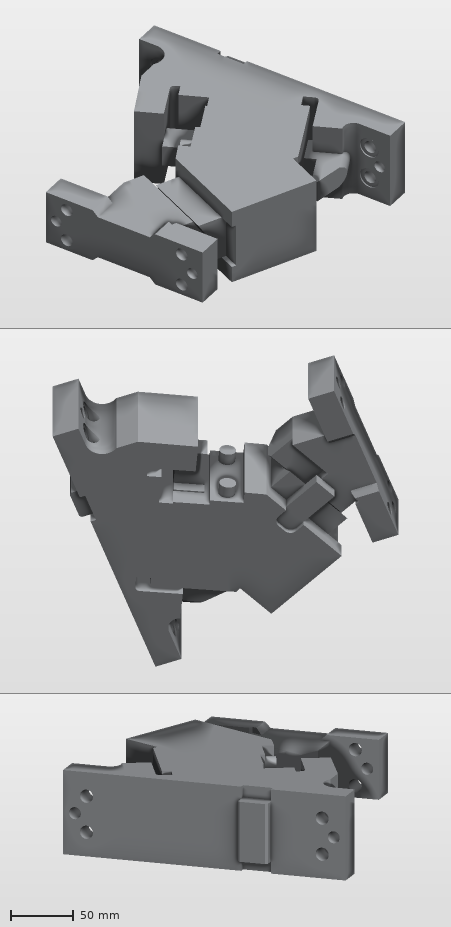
import cadquery as cq
import math

base_length = 240.0
unit_height = 70.0
unit_depth = 234.0
plate_thickness = 22.0
tilt = 25.0
web_height = 39.8

bolt_pitch_z = 30.0
bolt_hole_dia = 11.0
bolt_head_dia = 18.0
bolt_head_depth = 1.2
dowel_hole_dia = 10.0

base_bolt_x = 100.0
base_dowel_x = 110.0
left_cove_radius = 14.2
left_cove_x = -103.5
right_cove_radius = 9.0
leg_outer_x = -91.7
leg_bend_y = -62.5

key_width = 25.2
key_center_x = -44.0
key_height = 50.0
key_projection = 9.0
key_seat_depth = 4.5
key_chamfer = 1.7

bearing_along = 39.5
relief_along = 27.8
lip_end_along = 66.5
leg_outer_across = -108.7
leg_inner_across = -84.5
left_relief_across = -76.5
right_relief_across = 22.8
lip_inner_across = 36.0
lip_outer_across = 60.0
relief_radius = 3.8

slider_left = -51.5
slider_right = 30.2
slider_right_end = 109.0
bar_start = 51.0
bar_end = 76.0
bar_height = 19.2
side_step = 1.5
side_end = 80.5
screw_seat_across = -57.0
screw_seat_end = 107.3
cheek_across = -67.2
pad_thickness = 1.2
pad_height = 38.5

hook_inner_across = 40.5
hook_tip_across = 45.5
hook_end_along = 106.5
hook_bulge = 5.5
hook_taper_start = 76.8

screw_dia = 13.5
screw_along = 93.8
screw_pitch_z = 46.0

drive_face_out = 131.5
face_left_side = 52.8
face_right_side = 138.0
shoulder_out = 51.5
shoulder_side = 102.7
corner_recess_depth = 4.0

jaw_left = 57.8
jaw_right = 122.6
jaw_tip_out = 153.4
ridge_depth = 9.0
ridge_flat = 10.0
ridge_clearance = 0.7

strip_left = 75.0
strip_right = 95.0
strip_end_out = 166.3
strip_thickness = 9.8
strip_gap = 0.7
strip_slot_depth = 15.0
strip_slot_radius = 6.7

driver_width = 150.0
driver_height = 50.0
driver_center_x = -2.6
driver_bolt_x = 55.0
driver_dowel_x = 65.0
web_left_x = -36.0
web_left_side = 41.0
web_right_side = 115.5
web_end_out = 174.0
waist_left_x = -27.8
waist_right_x = 21.8
end_notch_right = 81.0
end_notch_top = -10.3

front_y = key_projection - unit_depth
plate_front_y = -plate_thickness
plate_inner_y = front_y + plate_thickness
tilt_cos = math.cos(math.radians(tilt))
tilt_sin = math.sin(math.radians(tilt))
web_bend_y = (web_left_x * tilt_cos - web_left_side) / tilt_sin
web_bend_out = -web_left_x * tilt_sin - web_bend_y * tilt_cos


def guide_point(across, along):
    """XY place of a point given in the guide frame."""
    return (across * tilt_cos + along * tilt_sin, across * tilt_sin - along * tilt_cos)


def drive_point(side, out):
    """XY place of a point given in the drive frame."""
    return (side * tilt_cos - out * tilt_sin, -side * tilt_sin - out * tilt_cos)


def prism(points, height):
    """Prism on an XY outline, centred on the mid-plane."""
    return cq.Workplane("XY").polyline(points).close().extrude(height / 2, both=True)


def guide_block(across_min, across_max, along_min, along_max, height):
    """Box squared to the guide frame, centred on the mid-plane."""
    corners = [
        guide_point(across_min, along_min),
        guide_point(across_max, along_min),
        guide_point(across_max, along_max),
        guide_point(across_min, along_max),
    ]
    return prism(corners, height)


def drive_block(side_min, side_max, out_min, out_max, z_min, z_max):
    """Box squared to the drive frame."""
    corners = [
        drive_point(side_min, out_min),
        drive_point(side_max, out_min),
        drive_point(side_max, out_max),
        drive_point(side_min, out_max),
    ]
    return cq.Workplane("XY").workplane(offset=z_min).polyline(corners).close().extrude(z_max - z_min)


def y_cylinders(places, diameter, y_front, length):
    """Cylinders along +Y that start at y_front."""
    plane = cq.Workplane(cq.Plane((0, y_front, 0), (1, 0, 0), (0, -1, 0)))
    return plane.pushPoints(places).circle(diameter / 2).extrude(-length)


def bolt_places(center_x, offset_x):
    """X and Z of two pairs of bolts about a centre."""
    return [
        (center_x + side * offset_x, level * bolt_pitch_z / 2)
        for side in (-1, 1)
        for level in (-1, 1)
    ]


def dowel_places(center_x, offset_x):
    """X and Z of two dowels about a centre."""
    return [(center_x + side * offset_x, 0) for side in (-1, 1)]


def ridge(side_min, side_max, root_out):
    """Bar with a trapezoidal cross-section that tapers toward the base."""
    origin = drive_point(side_min, root_out)
    section = cq.Plane((*origin, 0), (tilt_sin, tilt_cos, 0), (tilt_cos, -tilt_sin, 0))
    outline = [
        (0, web_height / 2),
        (ridge_depth, ridge_flat / 2),
        (ridge_depth, -ridge_flat / 2),
        (0, -web_height / 2),
    ]
    return cq.Workplane(section).polyline(outline).close().extrude(side_max - side_min)


def make_hook():
    """Bar end and finger that wrap the base lip, with a round outer edge."""
    outline = [
        guide_point(slider_right, bar_start),
        guide_point(lip_outer_across + hook_bulge, bar_start),
        guide_point(lip_outer_across + hook_bulge, hook_taper_start),
        guide_point(hook_tip_across, hook_end_along),
        guide_point(hook_inner_across, hook_end_along),
        guide_point(hook_inner_across, bar_end),
        guide_point(slider_right, bar_end),
    ]
    rounding_plane = cq.Plane(
        (*guide_point(0, bar_start), 0), (tilt_cos, tilt_sin, 0), (tilt_sin, -tilt_cos, 0)
    )
    rounding = (
        cq.Workplane(rounding_plane)
        .moveTo(slider_right, -bar_height / 2)
        .lineTo(lip_outer_across, -bar_height / 2)
        .threePointArc((lip_outer_across + hook_bulge, 0), (lip_outer_across, bar_height / 2))
        .lineTo(slider_right, bar_height / 2)
        .close()
        .extrude(hook_end_along - bar_start)
    )
    return prism(outline, bar_height).intersect(rounding)


def make_base():
    half_length = base_length / 2
    left_cove_y = plate_front_y - left_cove_radius
    cove_end_dx = leg_outer_x - left_cove_x
    cove_end_y = left_cove_y - math.sqrt(left_cove_radius**2 - cove_end_dx**2)
    right_cove_y = plate_front_y - right_cove_radius
    lip_corner_x, lip_corner_y = guide_point(lip_outer_across, lip_end_along)
    right_cove_x = lip_corner_x + math.sqrt(right_cove_radius**2 - (lip_corner_y - right_cove_y) ** 2)
    diagonal = math.sqrt(0.5)
    body = (
        cq.Workplane("XY")
        .moveTo(-half_length, 0)
        .lineTo(-half_length, plate_front_y)
        .lineTo(left_cove_x, plate_front_y)
        .threePointArc(
            (left_cove_x + left_cove_radius * diagonal, left_cove_y + left_cove_radius * diagonal),
            (leg_outer_x, cove_end_y),
        )
        .lineTo(leg_outer_x, leg_bend_y)
        .lineTo(*guide_point(leg_outer_across, lip_end_along))
        .lineTo(*guide_point(leg_inner_across, lip_end_along))
        .lineTo(*guide_point(leg_inner_across, bearing_along))
        .lineTo(*guide_point(lip_inner_across, bearing_along))
        .lineTo(*guide_point(lip_inner_across, lip_end_along))
        .lineTo(lip_corner_x, lip_corner_y)
        .threePointArc(
            (right_cove_x - right_cove_radius * diagonal, right_cove_y + right_cove_radius * diagonal),
            (right_cove_x, plate_front_y),
        )
        .lineTo(half_length, plate_front_y)
        .lineTo(half_length, 0)
        .close()
        .extrude(unit_height / 2, both=True)
    )

    left_relief = guide_block(
        leg_inner_across, left_relief_across, relief_along, bearing_along, unit_height
    )
    outer_edge = cq.selectors.NearestToPointSelector((*guide_point(leg_inner_across, relief_along), 0))
    body = body.cut(left_relief.edges("|Z").edges(outer_edge).fillet(relief_radius))

    right_relief = guide_block(
        right_relief_across, lip_inner_across, relief_along, bearing_along, unit_height
    )
    outer_edge = cq.selectors.NearestToPointSelector((*guide_point(lip_inner_across, relief_along), 0))
    body = body.cut(right_relief.edges("|Z").edges(outer_edge).fillet(relief_radius))

    seat = cq.Workplane("XY").box(key_width, 2 * key_seat_depth, unit_height)
    body = body.cut(seat.translate((key_center_x, 0, 0)))
    key_depth = key_projection + key_seat_depth
    key = (
        cq.Workplane("XY")
        .box(key_width, key_depth, key_height)
        .edges("|Z and >Y")
        .chamfer(key_chamfer)
        .translate((key_center_x, key_projection - key_depth / 2, 0))
    )
    body = body.union(key)

    bolts = bolt_places(0, base_bolt_x)
    body = body.cut(y_cylinders(bolts, bolt_hole_dia, plate_front_y, plate_thickness))
    body = body.cut(
        y_cylinders(bolts, bolt_head_dia, left_cove_y, left_cove_radius + bolt_head_depth)
    )
    body = body.cut(
        y_cylinders(dowel_places(0, base_dowel_x), dowel_hole_dia, plate_front_y, plate_thickness)
    )
    return body.cut(make_hook())


def make_slider():
    stepped_left = slider_left - side_step
    body = prism(
        [
            guide_point(slider_left, bearing_along),
            guide_point(slider_right, bearing_along),
            guide_point(slider_right, slider_right_end),
            drive_point(shoulder_side, shoulder_out),
            drive_point(face_right_side, shoulder_out),
            drive_point(face_right_side, drive_face_out),
            drive_point(face_left_side, drive_face_out),
            guide_point(cheek_across, screw_seat_end),
            guide_point(screw_seat_across, screw_seat_end),
            guide_point(screw_seat_across, side_end),
            guide_point(stepped_left, side_end),
            guide_point(stepped_left, bar_start),
            guide_point(slider_left, bar_start),
        ],
        unit_height,
    )

    body = body.cut(
        drive_block(
            jaw_right,
            face_right_side,
            drive_face_out - corner_recess_depth,
            drive_face_out,
            -web_height / 2,
            web_height / 2,
        )
    )

    pad_left = stepped_left - pad_thickness
    body = body.union(guide_block(pad_left, stepped_left, bar_start, bar_end, pad_height))
    body = body.union(guide_block(leg_inner_across, stepped_left, bar_start, bar_end, bar_height))
    body = body.union(make_hook())

    seat = cq.Plane(
        (*guide_point(screw_seat_across, screw_along), 0),
        (tilt_sin, -tilt_cos, 0),
        (-tilt_cos, -tilt_sin, 0),
    )
    heads = (
        cq.Workplane(seat)
        .pushPoints([(0, -screw_pitch_z / 2), (0, screw_pitch_z / 2)])
        .circle(screw_dia / 2)
        .extrude(screw_seat_across - cheek_across)
    )
    body = body.union(heads)

    jaw = drive_block(
        jaw_left, jaw_right, drive_face_out, jaw_tip_out, -web_height / 2, web_height / 2
    )
    body = body.union(jaw.cut(ridge(jaw_left, jaw_right, jaw_tip_out)))

    strip_top = -web_height / 2 - strip_gap
    slot = drive_block(
        strip_left,
        strip_right,
        drive_face_out - strip_slot_depth,
        drive_face_out,
        -unit_height / 2,
        strip_top - strip_thickness,
    )
    for side in (strip_left, strip_right):
        corner = drive_point(side, drive_face_out - strip_slot_depth)
        inner_edge = cq.selectors.NearestToPointSelector((*corner, slot.val().Center().z))
        slot = slot.edges("|Z").edges(inner_edge).fillet(strip_slot_radius)
    body = body.cut(slot)
    strip = drive_block(
        strip_left,
        strip_right,
        drive_face_out,
        strip_end_out,
        strip_top - strip_thickness,
        strip_top,
    )
    return body.union(strip)


def make_driver():
    half_width = driver_width / 2
    half_height = driver_height / 2
    waist_height = web_height / 2
    chamfer = half_height - waist_height
    upper_edge = [
        (driver_center_x - half_width, half_height),
        (waist_left_x - chamfer, half_height),
        (waist_left_x, waist_height),
        (waist_right_x, waist_height),
        (waist_right_x + chamfer, half_height),
        (driver_center_x + half_width, half_height),
    ]
    lower_edge = [(x, -z) for x, z in reversed(upper_edge)]
    body = (
        cq.Workplane("XZ", origin=(0, plate_inner_y, 0))
        .polyline(upper_edge + lower_edge)
        .close()
        .extrude(plate_thickness)
    )

    shoulder = jaw_tip_out + ridge_clearance
    body = body.cut(
        drive_block(
            web_left_side, web_right_side, shoulder, web_end_out, -half_height, half_height
        )
    )
    web_outline = [
        drive_point(web_left_side, shoulder),
        drive_point(web_right_side, shoulder),
        drive_point(web_right_side, web_end_out),
        (waist_right_x, plate_inner_y - plate_thickness / 2),
        (web_left_x, plate_inner_y - plate_thickness / 2),
        (web_left_x, web_bend_y),
    ]
    body = body.union(prism(web_outline, web_height))
    body = body.union(ridge(web_left_side, web_right_side, shoulder))

    body = body.cut(
        drive_block(
            web_left_side,
            end_notch_right,
            shoulder - ridge_depth,
            web_bend_out,
            -web_height / 2,
            end_notch_top,
        )
    )

    bolts = bolt_places(driver_center_x, driver_bolt_x)
    dowels = dowel_places(driver_center_x, driver_dowel_x)
    body = body.cut(y_cylinders(bolts, bolt_hole_dia, front_y, plate_thickness))
    return body.cut(y_cylinders(dowels, dowel_hole_dia, front_y, plate_thickness))


base = make_base().solids()
slider = make_slider().solids()
driver = make_driver().solids()
result = cq.Compound.makeCompound([base.val(), slider.val(), driver.val()])